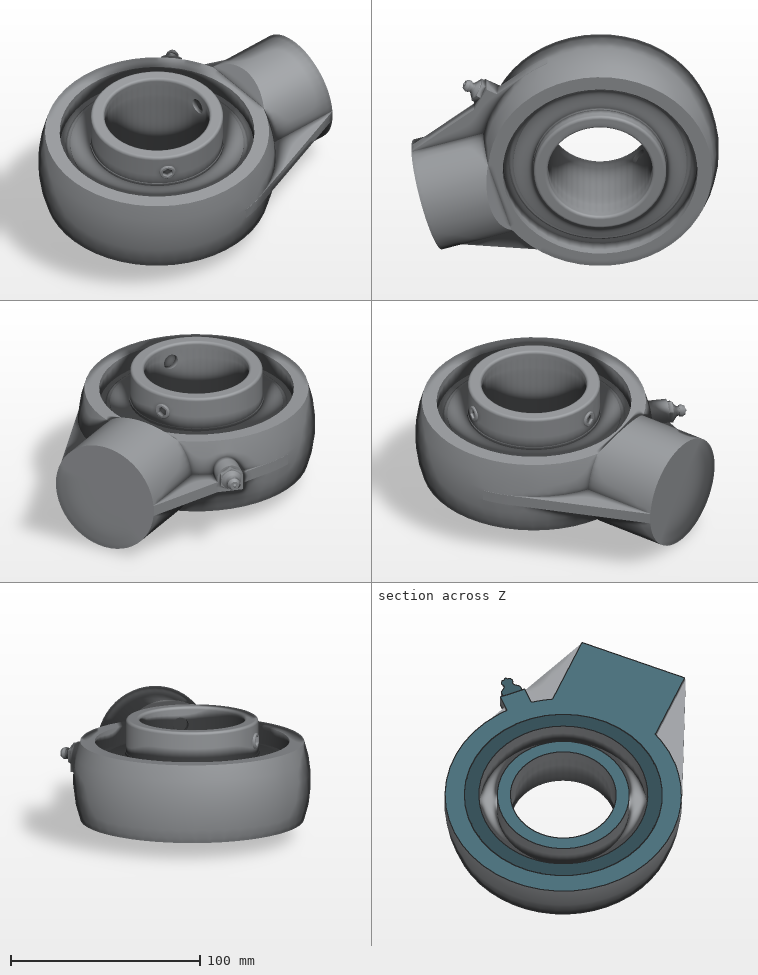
import cadquery as cq
import math


housing_radius = 62.75
housing_width = 42.0
bore_diameter = 102.83
seat_diameter = 104.83
boss_radius = 30.0
boss_end_y = 95.0
boss_start_y = 55.4
boss_chamfer_angle = 60.0
boss_chamfer_start_z = 21.25
web_thickness = 6.0
web_tail_y = 10.0

nipple_angle = 135.0
nipple_axis_z = 5.0
pad_radius = 7.0
pad_end = 71.5
pad_start = 55.0
hex_across_flats = 11.0
hex_length = 2.4

ring_half_width = 11.5
raceway_diameter = 88.9
shaft_diameter = 55.56
inner_ring_diameter = 69.85
inner_ring_width = 55.56
inner_ring_top = 33.33
inner_ring_bottom = inner_ring_top - inner_ring_width
inner_ring_fillet = 1.5

seal_diameter = 96.6
seal_rim_diameter = 94.8
seal_cone_diameter = 91.44
seal_lip_diameter = 70.87
seal_depth = 2.5
seal_rim_height = 0.7
seal_cone_start = 1.2
seal_cone_end = 2.7
seal_lip_height = 4.2

screw_diameter = 8.38
screw_z = 23.45
screw_angles = (90.0, -30.0)
screw_inner_end = 29.7
screw_outer_end = 35.9
screw_chamfer = 0.5
screw_socket_flats = 5.0
screw_socket_depth = 2.5


def cylinder(diameter, bottom, top):
    """Solid cylinder on the bearing axis."""
    return cq.Workplane("XY").workplane(offset=bottom).circle(diameter / 2).extrude(top - bottom)


def sphere_slice(diameter, half_width):
    """Sphere about the origin, cut flat at plus and minus half_width."""
    slab = cq.Workplane("XY").box(2 * diameter, 2 * diameter, 2 * half_width)
    return cq.Workplane("XY").sphere(diameter / 2).intersect(slab)


def radial_plane(angle, distance, height):
    """Workplane facing outward from the bearing axis, with its own Y pointing along +Z."""
    direction = cq.Vector(math.cos(math.radians(angle)), math.sin(math.radians(angle)), 0)
    across = cq.Vector(-direction.y, direction.x, 0)
    origin = direction * distance + cq.Vector(0, 0, height)
    return cq.Workplane(cq.Plane(origin=origin, xDir=across, normal=direction))


def hexagon(plane, across_flats, length):
    """Hexagonal prism with two corners pointing along Z."""
    corner_diameter = across_flats / math.cos(math.radians(30))
    return plane.transformed(rotate=(0, 0, 90)).polygon(6, corner_diameter).extrude(length)


def make_hanger_boss():
    """Round boss with a sloped flat above and below its housing end."""
    boss = (
        cq.Workplane("XZ", origin=(0, boss_start_y, 0))
        .circle(boss_radius)
        .extrude(boss_start_y - boss_end_y)
    )
    rise = boss_radius - boss_chamfer_start_z
    run = rise / math.tan(math.radians(boss_chamfer_angle))
    wedge = (
        cq.Workplane("YZ")
        .moveTo(boss_start_y, boss_chamfer_start_z)
        .lineTo(boss_start_y + run, boss_radius)
        .lineTo(boss_start_y, boss_radius)
        .close()
        .extrude(boss_radius, both=True)
    )
    return boss.cut(wedge).cut(wedge.mirror("XY"))


def make_web():
    """Flat web from the boss end, tangent to the housing rim on both sides."""
    corner_distance = math.hypot(boss_radius, boss_end_y)
    tangent_angle = math.atan2(boss_end_y, boss_radius) - math.acos(housing_radius / corner_distance)
    tail_angle = math.asin(web_tail_y / housing_radius)

    def rim(angle, side):
        return (side * housing_radius * math.cos(angle), housing_radius * math.sin(angle))

    middle_angle = (tangent_angle + tail_angle) / 2
    return (
        cq.Workplane("XY")
        .workplane(offset=-web_thickness / 2)
        .moveTo(-boss_radius, boss_end_y)
        .lineTo(boss_radius, boss_end_y)
        .lineTo(*rim(tangent_angle, 1))
        .threePointArc(rim(middle_angle, 1), rim(tail_angle, 1))
        .lineTo(*rim(tail_angle, -1))
        .threePointArc(rim(middle_angle, -1), rim(tangent_angle, -1))
        .close()
        .extrude(web_thickness)
    )


def make_nipple_pad():
    """Pad with a half-round top and flat sides, flush with the underside of the web."""
    below_axis = nipple_axis_z + web_thickness / 2
    return (
        radial_plane(nipple_angle, pad_start, nipple_axis_z)
        .moveTo(-pad_radius, -below_axis)
        .lineTo(pad_radius, -below_axis)
        .lineTo(pad_radius, 0)
        .threePointArc((0, pad_radius), (-pad_radius, 0))
        .close()
        .extrude(pad_end - pad_start)
    )


def make_housing():
    """Sliced sphere with boss, web and pad, opened by the bore and the spherical seat."""
    half_width = housing_width / 2
    body = sphere_slice(2 * housing_radius, half_width)
    body = body.union(make_hanger_boss()).union(make_web()).union(make_nipple_pad())
    body = body.cut(cylinder(bore_diameter, -half_width, half_width))
    return body.cut(cq.Workplane("XY").sphere(seat_diameter / 2))


def make_grease_nipple():
    """Hexagon with a turned cone, neck and head, ending in a small half ball."""
    cone_radius = 5.3
    cone_start = hex_length + 0.35
    cone_end = 4.6
    neck_start = 5.3
    neck_end = 6.2
    neck_radius = 2.6
    collar_radius = 3.0
    head_radius = 3.3
    head_widest = 7.7
    tip_radius = 2.3
    tip_end = 9.4
    ball_radius = 0.9

    base = hexagon(radial_plane(nipple_angle, pad_end, nipple_axis_z), hex_across_flats, hex_length)
    ball_middle_offset = ball_radius * math.cos(math.radians(45))
    turned = (
        radial_plane(nipple_angle, pad_end, nipple_axis_z)
        .transformed(rotate=(90, 0, 0))
        .moveTo(0, hex_length)
        .lineTo(cone_radius, hex_length)
        .lineTo(cone_radius, cone_start)
        .lineTo(collar_radius, cone_end)
        .lineTo(neck_radius, neck_start)
        .lineTo(neck_radius, neck_end)
        .lineTo(collar_radius, neck_end)
        .lineTo(head_radius, head_widest)
        .lineTo(tip_radius, tip_end)
        .lineTo(ball_radius, tip_end)
        .threePointArc((ball_middle_offset, tip_end + ball_middle_offset), (0, tip_end + ball_radius))
        .close()
        .revolve(360, (0, 0, 0), (0, 1, 0))
    )
    return base.union(turned)


def make_outer_ring():
    """Spherical ring with a seal seat on each face."""
    ring = sphere_slice(seat_diameter, ring_half_width)
    ring = ring.cut(cylinder(raceway_diameter, -ring_half_width, ring_half_width))
    seat = cylinder(seal_diameter, ring_half_width - seal_depth, ring_half_width)
    return ring.cut(seat).cut(seat.mirror("XY"))


def make_seal():
    """Upper seal: bevelled rim, plate rising as a cone, and a lip around the inner ring."""
    face = ring_half_width
    return (
        cq.Workplane("XZ")
        .moveTo(inner_ring_diameter / 2, face - seal_depth)
        .lineTo(seal_diameter / 2, face - seal_depth)
        .lineTo(seal_diameter / 2, face)
        .lineTo(seal_rim_diameter / 2, face + seal_rim_height)
        .lineTo(seal_cone_diameter / 2, face + seal_rim_height)
        .lineTo(seal_cone_diameter / 2, face + seal_cone_start)
        .lineTo(seal_lip_diameter / 2, face + seal_cone_end)
        .lineTo(seal_lip_diameter / 2, face + seal_lip_height)
        .lineTo(inner_ring_diameter / 2, face + seal_lip_height)
        .close()
        .revolve(360, (0, 0, 0), (0, 1, 0))
    )


def make_inner_ring():
    """Long inner ring with rounded ends and two radial screw holes."""
    ring = cylinder(inner_ring_diameter, inner_ring_bottom, inner_ring_top)
    ring = ring.cut(cylinder(shaft_diameter, inner_ring_bottom, inner_ring_top))
    ring = ring.faces("<Z or >Z").edges().fillet(inner_ring_fillet)
    for angle in screw_angles:
        hole = radial_plane(angle, 0, screw_z).circle(screw_diameter / 2).extrude(inner_ring_diameter)
        ring = ring.cut(hole)
    return ring


def make_set_screw(angle):
    """Headless screw with a hexagon socket in its outer end."""
    screw = (
        radial_plane(angle, screw_inner_end, screw_z)
        .circle(screw_diameter / 2)
        .extrude(screw_outer_end - screw_inner_end)
        .edges()
        .chamfer(screw_chamfer)
    )
    socket_plane = radial_plane(angle, screw_outer_end - screw_socket_depth, screw_z)
    return screw.cut(hexagon(socket_plane, screw_socket_flats, screw_socket_depth))


housing = make_housing()
grease_nipple = make_grease_nipple()
outer_ring = make_outer_ring()
inner_ring = make_inner_ring()
upper_seal = make_seal()
seals = [upper_seal, upper_seal.mirror("XY")]
set_screws = [make_set_screw(angle) for angle in screw_angles]

bodies = [housing, grease_nipple, outer_ring, inner_ring, *seals, *set_screws]
result = cq.Compound.makeCompound([body.val() for body in bodies])